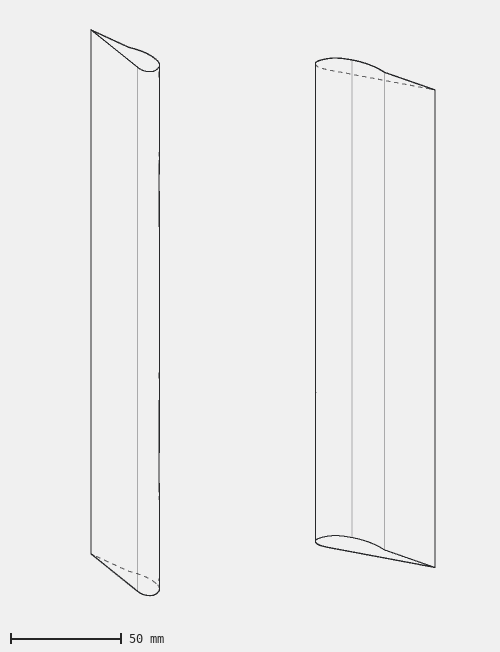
import cadquery as cq
import math

span = 254.0
chord = 58.7
thickness = 11.7

kink_x = 26.7
kink_y = 6.5
crest_x = 44.0
shoulder_x = 54.5
shoulder_y = 9.1
nose_y = 4.0
flat_end_x = 51.3

back_run = crest_x - kink_x
back_rise = thickness - kink_y
back_radius = (back_run**2 + back_rise**2) / (2 * back_rise)
back_mid_x = (kink_x + crest_x) / 2
back_mid_y = thickness - back_radius + math.sqrt(back_radius**2 - (crest_x - back_mid_x) ** 2)

downhill = (1, -0.7)
forward = (1, 0)
downward = (0, -1)
backward = (-1, 0)

section = (
    cq.Workplane("XY")
    .moveTo(0, 0)
    .lineTo(kink_x, kink_y)
    .threePointArc((back_mid_x, back_mid_y), (crest_x, thickness))
    .spline(
        [(shoulder_x, shoulder_y), (chord, nose_y), (flat_end_x, 0)],
        tangents=[forward, downhill, downward, backward],
        includeCurrent=True,
    )
    .close()
)

result = section.extrude(span)